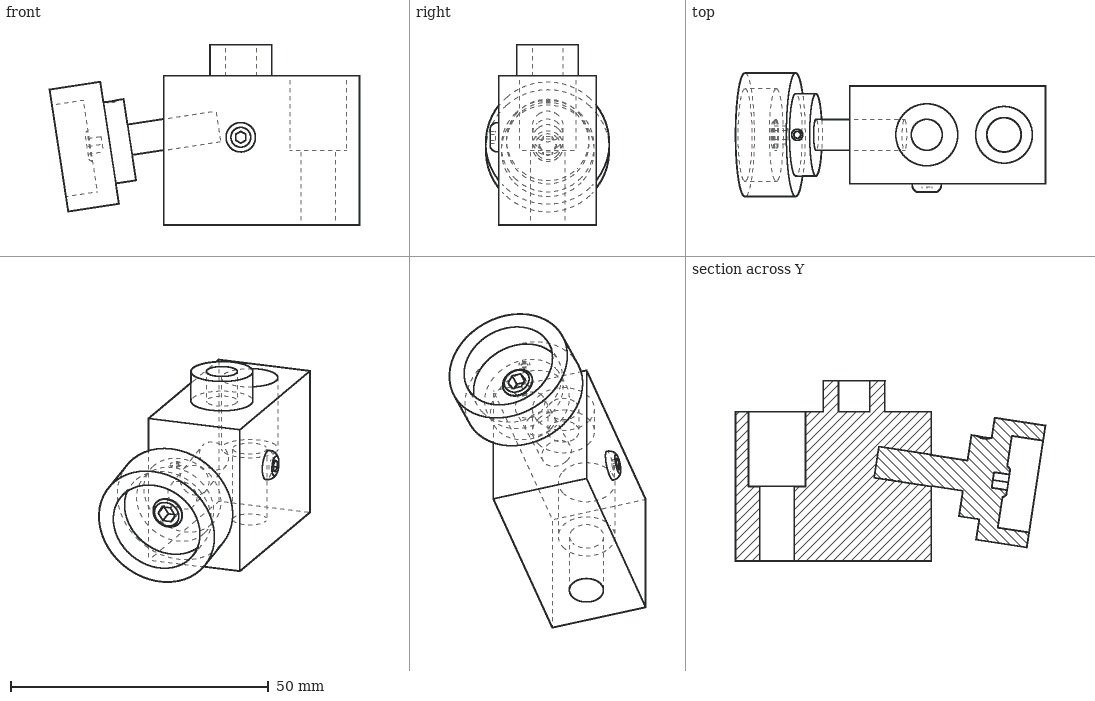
import cadquery as cq
import math

block_length = 38.0
block_width = 19.0
block_height = 29.0

boss_x = 15.0
boss_diameter = 12.0
boss_height = 6.0
boss_bore_diameter = 6.0
boss_bore_depth = boss_height

bolt_hole_x = 29.95
bolt_hole_diameter = 6.6
counterbore_diameter = 11.0
counterbore_depth = block_height / 2

button_z = 17.0
button_diameter = 5.7
button_flat_diameter = 3.85
button_height = 1.6
button_bulge = 0.21
button_hex_flats = 2.0
button_hex_depth = 1.0

knob_tilt = 8.7
knob_diameter = 24.0
knob_length = 10.0
overall_length = 60.15
knob_overhang = overall_length - block_length
knob_face_z = 14.45
recess_diameter = 18.0
recess_depth = 6.15
hub_diameter = 16.0
hub_length = 3.95

shaft_diameter = 6.0
shaft_start = 5.5
shaft_end = 31.3
shaft_chamfer = 0.5
shaft_hex_flats = 3.0
shaft_hex_depth = 3.0

hub_hole_offset = 1.5
hub_hole_diameter = 1.3
hub_counterbore_diameter = 2.15
hub_counterbore_depth = 0.1
hub_hole_depth = 0.3

tilt = math.radians(knob_tilt)
knob_face_x = knob_diameter / 2 * math.sin(tilt) - knob_overhang
knob_axis = cq.Vector(math.cos(tilt), 0, math.sin(tilt))
knob_up = cq.Vector(-math.sin(tilt), 0, math.cos(tilt))
knob_face_center = cq.Vector(knob_face_x, 0, knob_face_z)


def knob_plane(distance):
    """Plane across the knob axis, with its local Y pointing sideways."""
    return cq.Plane(knob_face_center + knob_axis * distance, knob_up, knob_axis)


def knob_cylinder(start, length, diameter):
    """Cylinder on the knob axis."""
    return cq.Workplane(knob_plane(start)).circle(diameter / 2).extrude(length)


def hexagon(workplane, flats, depth):
    """Hexagonal prism with two corners on the workplane's local X axis."""
    return workplane.polygon(6, flats / math.cos(math.pi / 6)).extrude(depth)


def make_shaft():
    shaft = knob_cylinder(shaft_start, shaft_end - shaft_start, shaft_diameter)
    end_plane = knob_plane(shaft_start)
    shaft = shaft.faces(cq.selectors.DirectionMinMaxSelector(knob_axis, False)).chamfer(shaft_chamfer)
    socket = hexagon(cq.Workplane(end_plane.rotated((0, 0, 90))), shaft_hex_flats, shaft_hex_depth)
    return shaft.cut(socket)


def make_hub_hole():
    """Stepped recess sunk radially into the hub surface."""
    mouth = knob_face_center + knob_axis * (knob_length + hub_hole_offset) + knob_up * (hub_diameter / 2)
    plane = cq.Plane(mouth, knob_axis, knob_up)
    hole = cq.Workplane(plane).circle(hub_hole_diameter / 2).extrude(-hub_hole_depth)
    step = cq.Workplane(plane).circle(hub_counterbore_diameter / 2).extrude(hub_counterbore_depth, both=True)
    return hole.union(step)


def make_knob():
    """Cup-shaped knob with its hub and shaft."""
    knob = knob_cylinder(0, knob_length, knob_diameter)
    knob = knob.union(knob_cylinder(knob_length, hub_length, hub_diameter))
    knob = knob.cut(knob_cylinder(0, recess_depth, recess_diameter))
    shaft = make_shaft()
    shaft_bore = knob_cylinder(0, shaft_end, shaft_diameter)
    return knob.cut(make_hub_hole()).cut(shaft_bore).union(shaft)


def make_button():
    """Domed head with a hexagonal socket, standing out from the front face."""
    base_radius = button_diameter / 2
    flat_radius = button_flat_diameter / 2
    bulge_point = ((base_radius + flat_radius) / 2 + button_bulge, button_height / 2 + button_bulge)
    head = (
        cq.Workplane("XY")
        .lineTo(base_radius, 0)
        .threePointArc(bulge_point, (flat_radius, button_height))
        .lineTo(0, button_height)
        .close()
        .revolve(360, (0, 0), (0, 1))
    )
    socket_top = cq.Workplane("XZ", origin=(0, button_height, 0)).transformed(rotate=(0, 0, 90))
    head = head.cut(hexagon(socket_top, button_hex_flats, button_hex_depth))
    head = head.rotate((0, 0, 0), (0, 0, 1), 180)
    return head.translate((boss_x, -block_width / 2, button_z))


def make_housing():
    """Block with boss, counterbored hole, button head and seat for the shaft."""
    block = cq.Workplane("XY").box(block_length, block_width, block_height, centered=(False, True, False))
    top = cq.Workplane("XY", origin=(0, 0, block_height))
    boss = top.center(boss_x, 0).circle(boss_diameter / 2).extrude(boss_height)
    boss_top = cq.Workplane("XY", origin=(boss_x, 0, block_height + boss_height))
    boss_bore = boss_top.circle(boss_bore_diameter / 2).extrude(-boss_bore_depth)
    bolt_hole = top.center(bolt_hole_x, 0).circle(bolt_hole_diameter / 2).extrude(-block_height)
    counterbore = top.center(bolt_hole_x, 0).circle(counterbore_diameter / 2).extrude(-counterbore_depth)
    shaft_seat = knob_cylinder(shaft_start, shaft_end - shaft_start, shaft_diameter)
    housing = block.union(boss).union(make_button())
    return housing.cut(boss_bore).cut(bolt_hole).cut(counterbore).cut(shaft_seat)


housing = make_housing()
knob = make_knob()
result = cq.Compound.makeCompound([housing.val(), knob.val()])